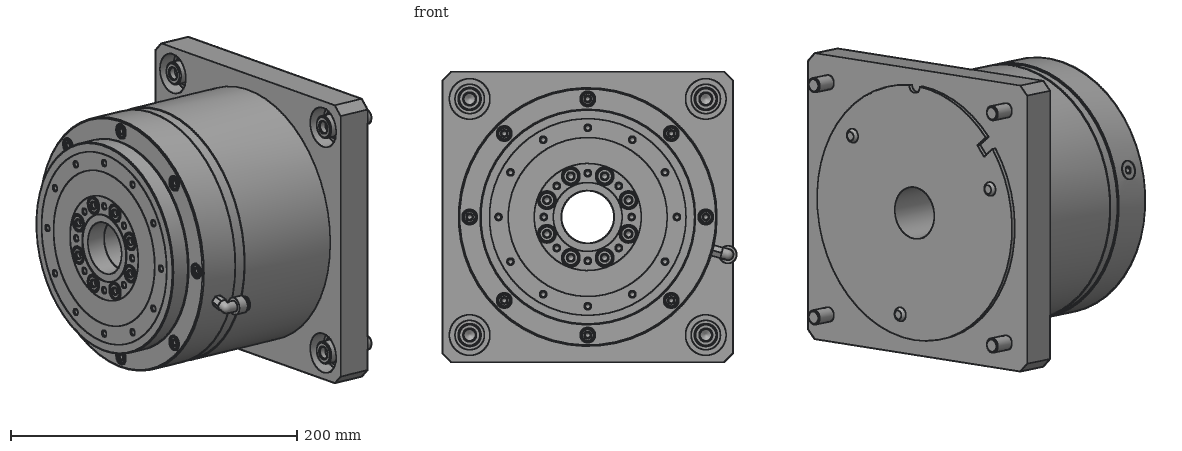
import cadquery as cq
import math


total_width = 205.6
total_length = 170.7
plate_side = 203.1

plate_front = 130.4
plate_back = 154.8
plate_corner = 6.4
mount_pitch = 165.0

body_radius = 90.3
band_radius = 89.6
pilot_radius = 75.3
pilot_neck_radius = 74.6
pilot_neck_front = 14.2
housing_front = 15.2
housing_back = 45.0
band_back = 53.0
register_back = 158.0
housing_chamfer = 0.8
pilot_chamfer = 0.6

rim_inner_radius = 68.7
flange_inner_radius = 55.5
hub_radius = 37.5
sleeve_radius = 24.0
ring_step = 0.2
sleeve_recess = 0.6
bore_radius = 18.5
bore_step = 0.2

mouth_chamfer = 0.6
drill_point_angle = 118.0

tap_radius = 2.5
tap_depth = 10.3
flange_tap_count = 12
flange_tap_circle = 62.3
hub_tap_count = 8
hub_tap_circle = 30.6

hub_screw_count = 8
hub_screw_circle = 30.8
hub_screw_bore = 6.4
hub_screw_head = 5.8
hub_screw_depth = 6.2
hub_socket = 2.9
housing_screw_count = 8
housing_screw_circle = 82.5
housing_screw_bore = 5.3
housing_screw_head = 4.7
housing_screw_depth = 4.1
housing_socket = 2.5
small_socket_depth = 3.0
head_chamfer = 0.8

mount_bore = 14.2
mount_head = 8.0
mount_depth = 12.1
mount_washer = 10.3
mount_washer_thickness = 2.0
mount_socket = 4.7
mount_socket_depth = 5.1
mount_shank_radius = 5.1
mount_tip_chamfer = 0.8

button_circle = 74.6
button_first_angle = 40.0
button_count = 3
button_radius = 5.0
button_top_radius = 3.0
button_height = 2.7
button_bulge = 0.5
slot_angle = 140.0
slot_width = 9.7
slot_depth = 10.3
scallop_radius = 5.0

port_station = 30.2
fitting_angle = -15.0
plug_angle = fitting_angle + 180.0
plug_radius = 6.5
plug_flat_depth = 0.5
plug_hole_radius = 2.7
plug_hole_depth = 6.2

hex_corner_radius = 4.3
hex_end = 96.8
elbow_axis_distance = 101.4
elbow_radius = 4.0
collar_front = 36.8
collar_back = 44.5
collar_x = elbow_axis_distance * math.cos(math.radians(fitting_angle))
collar_radius = total_width - plate_side / 2 - collar_x
release_neck_radius = 4.3
release_ring_radius = 5.0
release_ring_thickness = 0.5
release_ring_backs = (45.9, 47.5)
fitting_embed = 4.1


def turned(points):
    """Solid of revolution about Y from (radius, y) points."""
    return cq.Workplane("XY").polyline(points).close().revolve(360, (0, 0, 0), (0, 1, 0))


def rod(radius, start, end):
    """Cylinder on the Y axis between two stations."""
    return cq.Workplane("XZ", origin=(0, start, 0)).circle(radius).extrude(start - end)


def circle_spots(count, radius, station, first_angle=0.0):
    """Evenly spaced positions on a circle around the Y axis."""
    angles = [math.radians(first_angle + 360.0 * i / count) for i in range(count)]
    return [(radius * math.cos(a), station, radius * math.sin(a)) for a in angles]


def copies(shape, spots):
    """The same shape placed at every spot."""
    return cq.Workplane(cq.Compound.makeCompound([shape.translate(spot).val() for spot in spots]))


def cut_each(part, tool, spots):
    """The part with the tool removed at every spot."""
    return part.cut(copies(tool, spots))


def join_each(part, piece, spots):
    """The part with the piece added at every spot."""
    return part.union(copies(piece, spots))


def blind_hole(radius, depth):
    """Hole running in +Y from y = 0, with a countersunk mouth of the given radius and a conical end."""
    wall = radius - mouth_chamfer
    point = wall / math.tan(math.radians(drill_point_angle / 2))
    return turned([(0, 0), (radius, 0), (wall, mouth_chamfer), (wall, depth), (0, depth + point)])


def cut_screws(part, spots, bore, head, depth, socket, socket_depth):
    """The part with a counterbore around a chamfered, socketed screw head at every spot."""
    gap = turned([
        (head - head_chamfer, 0),
        (bore, 0),
        (bore, depth),
        (head, depth),
        (head, head_chamfer),
    ])
    part = cut_each(part, gap, spots)
    return cut_each(part, blind_hole(socket, socket_depth), spots)


def round_body():
    """Bored body with its stepped output face, pilot, housing, band and rear register."""
    return turned([
        (bore_radius, sleeve_recess),
        (sleeve_radius, sleeve_recess),
        (sleeve_radius, 0),
        (hub_radius, 0),
        (hub_radius, ring_step),
        (flange_inner_radius, ring_step),
        (flange_inner_radius, 0),
        (rim_inner_radius, 0),
        (rim_inner_radius, ring_step),
        (pilot_radius - pilot_chamfer, ring_step),
        (pilot_radius, ring_step + pilot_chamfer),
        (pilot_radius, pilot_neck_front),
        (pilot_neck_radius, pilot_neck_front),
        (pilot_neck_radius, housing_front),
        (body_radius - housing_chamfer, housing_front),
        (body_radius, housing_front + housing_chamfer),
        (body_radius, housing_back - housing_chamfer),
        (body_radius - housing_chamfer, housing_back),
        (band_radius, housing_back),
        (band_radius, band_back),
        (body_radius, band_back),
        (body_radius, register_back),
        (bore_radius - bore_step, register_back),
        (bore_radius - bore_step, housing_front),
        (bore_radius, housing_front),
    ])


def rear_cutouts():
    """Radial slot and round scallop in the rim behind the plate."""
    height = register_back - plate_back
    slot = (
        cq.Workplane("XY")
        .box(2 * slot_depth, height, slot_width, centered=(True, False, True))
        .translate((body_radius, plate_back, 0))
        .rotate((0, 0, 0), (0, 1, 0), -slot_angle)
    )
    scallop = rod(scallop_radius, plate_back, register_back).translate((0, 0, body_radius))
    return slot.union(scallop)


def mounting_plate():
    """Square plate with bevelled corners, opened to fit around the body."""
    plate = (
        cq.Workplane("XZ", origin=(0, plate_front, 0))
        .rect(plate_side, plate_side)
        .extrude(plate_front - plate_back)
        .edges("|Y")
        .chamfer(plate_corner)
    )
    return plate.cut(rod(band_radius, plate_front, plate_back))


def button_head():
    """Domed screw head with a flat top, standing on y = 0."""
    crown_radius = (button_radius + button_top_radius) / 2 + button_bulge
    return (
        cq.Workplane("XY")
        .lineTo(button_radius, 0)
        .threePointArc((crown_radius, button_height / 2), (button_top_radius, button_height))
        .lineTo(0, button_height)
        .close()
        .revolve(360, (0, 0, 0), (0, 1, 0))
    )


def elbow_fitting():
    """Elbow built with its stem along +X, then swung to its angle around the body."""
    stem_start = body_radius - fitting_embed
    stem = (
        cq.Workplane("YZ", origin=(stem_start, port_station, 0))
        .polygon(6, 2 * hex_corner_radius)
        .extrude(hex_end - stem_start)
    )
    knee = (
        cq.Workplane("YZ", origin=(hex_end, port_station, 0))
        .circle(elbow_radius)
        .extrude(elbow_axis_distance - hex_end)
    )
    ball = cq.Workplane("XY").sphere(elbow_radius).translate((elbow_axis_distance, port_station, 0))
    release_end = release_ring_backs[-1]
    outlet = rod(elbow_radius, port_station, collar_front)
    outlet = outlet.union(rod(collar_radius, collar_front, collar_back))
    outlet = outlet.union(rod(release_neck_radius, collar_back, release_end))
    for ring_back in release_ring_backs:
        outlet = outlet.union(rod(release_ring_radius, ring_back - release_ring_thickness, ring_back))
    outlet = outlet.translate((elbow_axis_distance, 0, 0))
    return stem.union(knee).union(ball).union(outlet).rotate((0, 0, 0), (0, 1, 0), -fitting_angle)


def plug_port():
    """Shallow round flat with a blind hole, cut into the side of the housing."""
    flat_distance = body_radius - plug_flat_depth
    flat = cq.Workplane("YZ", origin=(flat_distance, port_station, 0)).circle(plug_radius)
    flat = flat.extrude(plug_radius)
    hole = (
        blind_hole(plug_hole_radius, plug_hole_depth)
        .rotate((0, 0, 0), (0, 0, 1), 90)
        .translate((flat_distance, port_station, 0))
    )
    return flat.union(hole).rotate((0, 0, 0), (0, 1, 0), -plug_angle)


mount_spots = [
    (x * mount_pitch / 2, plate_front, z * mount_pitch / 2) for x in (-1, 1) for z in (-1, 1)
]

body = round_body().cut(rear_cutouts()).union(mounting_plate())
button_spots = circle_spots(button_count, button_circle, register_back, button_first_angle)
body = join_each(body, button_head(), button_spots)

tap = blind_hole(tap_radius, tap_depth)
body = cut_each(body, tap, circle_spots(flange_tap_count, flange_tap_circle, 0))
body = cut_each(body, tap, circle_spots(hub_tap_count, hub_tap_circle, 0))

hub_spots = circle_spots(hub_screw_count, hub_screw_circle, 0, 180.0 / hub_screw_count)
body = cut_screws(
    body, hub_spots, hub_screw_bore, hub_screw_head, hub_screw_depth, hub_socket, small_socket_depth
)

housing_spots = circle_spots(housing_screw_count, housing_screw_circle, housing_front)
body = cut_screws(
    body, housing_spots, housing_screw_bore, housing_screw_head, housing_screw_depth,
    housing_socket, small_socket_depth,
)

body = cut_screws(
    body, mount_spots, mount_bore, mount_head, mount_depth, mount_socket, mount_socket_depth
)
washer = rod(mount_washer, mount_depth - mount_washer_thickness, mount_depth)
body = join_each(body, washer, mount_spots)
shank = rod(mount_shank_radius, plate_back, total_length).faces(">Y").chamfer(mount_tip_chamfer)
body = join_each(body, shank, [(x, 0, z) for x, _, z in mount_spots])

result = body.union(elbow_fitting()).cut(plug_port())